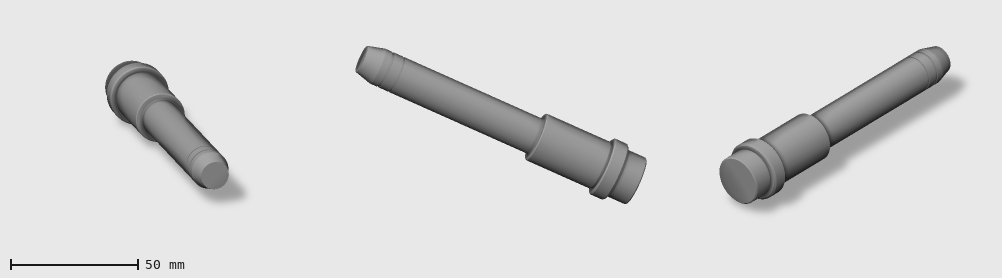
import cadquery as cq
import math

head_dia = 20.0
collar_dia = 24.0
shank_dia = 15.0
relief_dia = 19.2
groove_dia = 14.4

length = 120.0
head_end = 8.0
collar_start = 8.8
collar_end = 15.0
body_start = 16.0
body_end = 43.8
groove_spans = [(104.6, 105.4), (109.3, 110.3)]

head_chamfer = 0.5
body_chamfer = 0.4
collar_front_chamfer = 0.7
collar_back_chamfer = 0.5
shoulder_fillet = 0.7

tip_length = 7.0
tip_angle = math.radians(15)
tip_dia = shank_dia - 2 * tip_length * math.tan(tip_angle)

cutter_margin = 1.2


def cylinder(start, end, dia):
    """Solid cylinder on the X axis between two axial positions."""
    return cq.Workplane("YZ", origin=(start, 0, 0)).circle(dia / 2).extrude(end - start)


def make_head():
    return cylinder(0, head_end, head_dia).faces("<X").chamfer(head_chamfer)


def make_relief():
    """Slimmer core joining head, collar and body."""
    return cylinder(head_end, body_start, relief_dia)


def make_collar():
    collar = cylinder(collar_start, collar_end, collar_dia)
    collar = collar.faces("<X").chamfer(collar_front_chamfer)
    return collar.faces(">X").chamfer(collar_back_chamfer)


def make_body():
    return cylinder(body_start, body_end, head_dia).faces(">X").chamfer(body_chamfer)


def make_shank():
    """Shank with a concave root fillet at the shoulder and a tapered tip."""
    shank_radius = shank_dia / 2
    fillet_mid = shoulder_fillet * (1 - math.sqrt(0.5))
    profile = (
        cq.Workplane("XY")
        .moveTo(body_end, 0)
        .lineTo(body_end, shank_radius + shoulder_fillet)
        .threePointArc(
            (body_end + fillet_mid, shank_radius + fillet_mid),
            (body_end + shoulder_fillet, shank_radius),
        )
        .lineTo(length - tip_length, shank_radius)
        .lineTo(length, tip_dia / 2)
        .lineTo(length, 0)
        .close()
    )
    return profile.revolve(360, (0, 0, 0), (1, 0, 0))


def make_groove(start, end):
    """Ring-shaped cutter for one shank groove."""
    ring = cylinder(start, end, shank_dia + 2 * cutter_margin)
    return ring.cut(cylinder(start, end, groove_dia))


pin = make_head().union(make_relief()).union(make_collar())
pin = pin.union(make_body()).union(make_shank())
for groove_start, groove_end in groove_spans:
    pin = pin.cut(make_groove(groove_start, groove_end))

result = pin